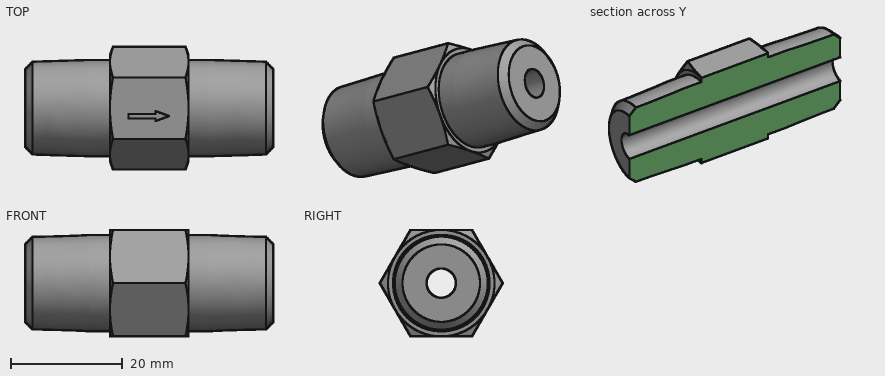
import cadquery as cq
import math

total_length = 44.45
body_diameter = 17.3
bore_diameter = 5.2

thread_length = 11.55
thread_taper = 1 / 16
end_chamfer_length = 1.4
end_face_diameter = 13.85

hex_length = 14.05
across_flats = 19.05
hex_chamfer_angle = 20.0

across_corners = across_flats / math.cos(math.radians(30))

arrow_tail_x = -3.75
arrow_shaft_length = 4.9
arrow_shaft_width = 0.8
arrow_head_length = 2.4
arrow_head_width = 1.8
arrow_center_y = -1.42
arrow_depth = 0.1


def make_turned_body():
    """Cylinder with a tapered, chamfered thread blank at each end."""
    half_length = total_length / 2
    taper_start = half_length - thread_length
    taper_end = half_length - end_chamfer_length
    body_radius = body_diameter / 2
    tip_radius = body_radius - thread_taper * (taper_end - taper_start) / 2
    face_radius = end_face_diameter / 2
    profile = [
        (-half_length, 0),
        (-half_length, face_radius),
        (-taper_end, tip_radius),
        (-taper_start, body_radius),
        (taper_start, body_radius),
        (taper_end, tip_radius),
        (half_length, face_radius),
        (half_length, 0),
    ]
    return cq.Workplane("XY").polyline(profile).close().revolve(360, (0, 0), (1, 0))


def make_hexagon():
    """Hexagonal prism whose corners are cut by a cone at both ends."""
    half_length = hex_length / 2
    corner_radius = across_corners / 2
    flat_radius = across_flats / 2
    chamfer_depth = (corner_radius - flat_radius) * math.tan(math.radians(hex_chamfer_angle))
    prism = cq.Workplane("YZ").polygon(6, across_corners).extrude(half_length, both=True)
    envelope_profile = [
        (-half_length, 0),
        (-half_length, flat_radius),
        (chamfer_depth - half_length, corner_radius),
        (half_length - chamfer_depth, corner_radius),
        (half_length, flat_radius),
        (half_length, 0),
    ]
    envelope = cq.Workplane("XY").polyline(envelope_profile).close().revolve(360, (0, 0), (1, 0))
    return prism.intersect(envelope)


def make_bore():
    """Through bore along the whole part."""
    return cq.Workplane("YZ").circle(bore_diameter / 2).extrude(total_length / 2, both=True)


def make_flow_arrow():
    """Arrow-shaped cutter sunk into the top flat of the hexagon."""
    half_shaft = arrow_shaft_width / 2
    half_head = arrow_head_width / 2
    outline = [
        (0, -half_shaft),
        (arrow_shaft_length, -half_shaft),
        (arrow_shaft_length, -half_head),
        (arrow_shaft_length + arrow_head_length, 0),
        (arrow_shaft_length, half_head),
        (arrow_shaft_length, half_shaft),
        (0, half_shaft),
    ]
    top_flat = cq.Workplane("XY", origin=(arrow_tail_x, arrow_center_y, across_flats / 2))
    return top_flat.polyline(outline).close().extrude(-arrow_depth)


result = make_turned_body().union(make_hexagon()).cut(make_bore()).cut(make_flow_arrow())